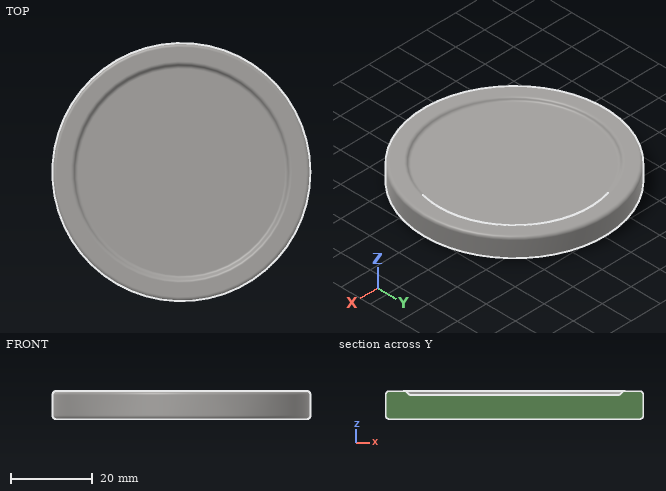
import cadquery as cq
import math

disc_radius = 31.5
disc_height = 7.0
edge_radius = 1.0

rim_radius = 26.95
recess_depth = 1.0
wall_arc_radius = edge_radius
wall_arc_angle = math.acos(1 - recess_depth / (2 * wall_arc_radius))
wall_arc_width = wall_arc_radius * math.sin(wall_arc_angle)
floor_radius = rim_radius - 2 * wall_arc_width


def make_disc():
    """Round disc with both outer edges rounded."""
    disc = cq.Workplane("XY").circle(disc_radius).extrude(disc_height)
    return disc.edges().fillet(edge_radius)


def make_recess():
    """Revolved recess volume with the S-curved wall."""
    floor_z = disc_height - recess_depth
    half_angle = wall_arc_angle / 2
    arc_mid_width = wall_arc_radius * math.sin(half_angle)
    arc_mid_drop = wall_arc_radius * (1 - math.cos(half_angle))
    return (
        cq.Workplane("XZ")
        .moveTo(0, floor_z)
        .lineTo(floor_radius, floor_z)
        .threePointArc(
            (floor_radius + arc_mid_width, floor_z + arc_mid_drop),
            (floor_radius + wall_arc_width, floor_z + recess_depth / 2),
        )
        .threePointArc(
            (rim_radius - arc_mid_width, disc_height - arc_mid_drop),
            (rim_radius, disc_height),
        )
        .lineTo(0, disc_height)
        .close()
        .revolve(360, (0, 0, 0), (0, 1, 0))
    )


result = make_disc().cut(make_recess())